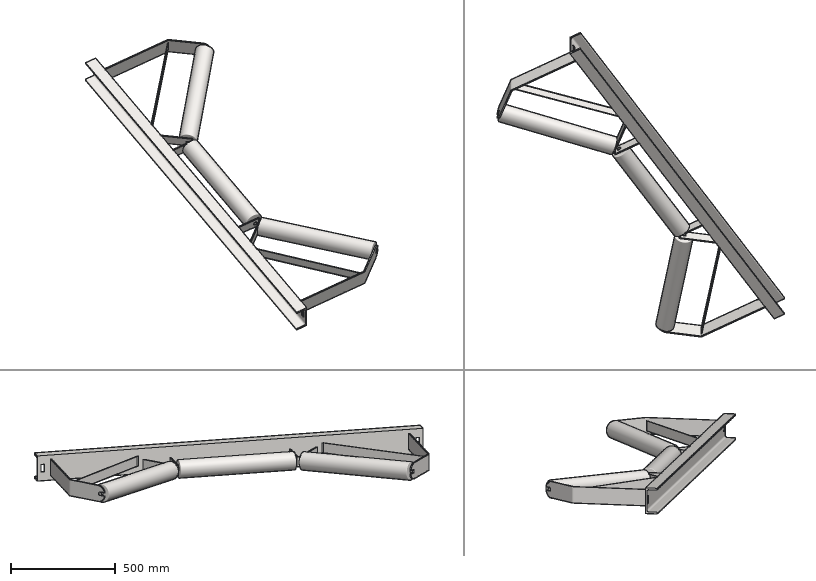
import cadquery as cq
import math

CHANNEL_LENGTH = 1900.0
CHANNEL_HEIGHT = 125.0
CHANNEL_DEPTH = 57.0
WEB_THICKNESS = 6.6
FLANGE_THICKNESS = 10.0
ROOT_RADIUS = 10.0
TOE_RADIUS = 4.0
SLOT_WIDTH = 17.0
SLOT_HEIGHT = 36.0
SLOT_INSET = 27.0

DRUM_DIAMETER = 90.0
DRUM_LENGTH = 570.0
DRUM_EDGE_RADIUS = 2.0
SHAFT_DIAMETER = 17.0
SHAFT_STUB = 13.0
CENTRE_ROLLER_Y = 118.0
CENTRE_ROLLER_Z = -17.0

TROUGH_ANGLE = 40.0
TIP_ANGLE = 2.0
WING_X = 543.0
WING_Y = 312.0
WING_Z = -8.2

STRIP_THICKNESS = 6.6
WIDE_STRIP = 80.0
NARROW_STRIP = 50.0
OUTER_Z = 2.0
OUTER_FACE_X = 885.0
OUTER_BEND_Y = 367.0
OUTER_ARM = 203.0
OUTER_TIP_RADIUS = 38.0
OUTER_BEND_RADIUS = 8.5
INNER_FACE_X = 290.0
INNER_TOP_Y = 142.0
INNER_TOP_WIDTH = 19.0
BRACE_THICKNESS = 4.0
BRACE_FOOT_X = 452.0

trough = math.radians(TROUGH_ANGLE)
arm_direction = (-math.sin(trough), math.cos(trough))
inward = (-math.cos(trough), -math.sin(trough))
overall_shaft = DRUM_LENGTH + 2 * SHAFT_STUB


def channel():
    half = CHANNEL_HEIGHT / 2
    inner = half - FLANGE_THICKNESS
    toe = CHANNEL_DEPTH - TOE_RADIUS
    root_y = WEB_THICKNESS + ROOT_RADIUS
    root_z = inner - ROOT_RADIUS
    profile = (
        cq.Workplane("YZ", origin=(-CHANNEL_LENGTH / 2, 0, 0))
        .moveTo(0, half)
        .lineTo(-CHANNEL_DEPTH, half)
        .lineTo(-CHANNEL_DEPTH, inner + TOE_RADIUS)
        .radiusArc((-toe, inner), -TOE_RADIUS)
        .lineTo(-root_y, inner)
        .radiusArc((-WEB_THICKNESS, root_z), ROOT_RADIUS)
        .lineTo(-WEB_THICKNESS, -root_z)
        .radiusArc((-root_y, -inner), ROOT_RADIUS)
        .lineTo(-toe, -inner)
        .radiusArc((-CHANNEL_DEPTH, -inner - TOE_RADIUS), -TOE_RADIUS)
        .lineTo(-CHANNEL_DEPTH, -half)
        .lineTo(0, -half)
        .close()
    )
    slot_x = CHANNEL_LENGTH / 2 - SLOT_INSET
    slots = (
        cq.Workplane("XZ")
        .pushPoints([(-slot_x, 0), (slot_x, 0)])
        .rect(SLOT_WIDTH, SLOT_HEIGHT)
        .extrude(WEB_THICKNESS)
    )
    return profile.extrude(CHANNEL_LENGTH).cut(slots)


def rod(diameter, length):
    """Cylinder along X, centred on the origin."""
    return cq.Workplane("YZ", origin=(-length / 2, 0, 0)).circle(diameter / 2).extrude(length)


def roller():
    drum = rod(DRUM_DIAMETER, DRUM_LENGTH).edges().fillet(DRUM_EDGE_RADIUS)
    return drum.union(rod(SHAFT_DIAMETER, overall_shaft))


def shaft_slot():
    """Cutter for an open slot: the shaft and the space on its +Y side, along the outer half."""
    mouth = cq.Workplane("XY").box(
        overall_shaft / 2, WIDE_STRIP, SHAFT_DIAMETER, centered=(False, False, True)
    )
    return mouth.union(rod(SHAFT_DIAMETER, overall_shaft))


def at_centre(body):
    return body.translate((0, CENTRE_ROLLER_Y, CENTRE_ROLLER_Z))


def at_wing(body):
    return (
        body.rotate((0, 0, 0), (0, 1, 0), -TIP_ANGLE)
        .rotate((0, 0, 0), (0, 0, 1), TROUGH_ANGLE)
        .translate((WING_X, WING_Y, WING_Z))
    )


def bent_strip(face_a, face_b, width, centre_z):
    """Strip on edge along Z, between two bent lines that each run from foot to tip."""
    outline = face_a + face_b[::-1]
    return (
        cq.Workplane("XY", origin=(0, 0, centre_z - width / 2))
        .polyline(outline)
        .close()
        .extrude(width)
    )


def inner_bend_y():
    """Y of the corner on the inside face of the outer bracket."""
    half_bend = (math.pi / 2 - trough) / 2
    return OUTER_BEND_Y - STRIP_THICKNESS * math.tan(half_bend)


def outer_bracket():
    tip = (OUTER_FACE_X + OUTER_ARM * arm_direction[0], OUTER_BEND_Y + OUTER_ARM * arm_direction[1])
    inside_tip = (tip[0] + STRIP_THICKNESS * inward[0], tip[1] + STRIP_THICKNESS * inward[1])
    mid_tip = ((tip[0] + inside_tip[0]) / 2, (tip[1] + inside_tip[1]) / 2)
    inside_x = OUTER_FACE_X - STRIP_THICKNESS
    plate = bent_strip(
        [(OUTER_FACE_X, 0), (OUTER_FACE_X, OUTER_BEND_Y), tip],
        [(inside_x, 0), (inside_x, inner_bend_y()), inside_tip],
        WIDE_STRIP,
        OUTER_Z,
    )
    outer_bend = cq.selectors.NearestToPointSelector((OUTER_FACE_X, OUTER_BEND_Y, OUTER_Z))
    inside_bend = cq.selectors.NearestToPointSelector((inside_x, inner_bend_y(), OUTER_Z))
    plate = plate.edges(outer_bend).fillet(OUTER_BEND_RADIUS + STRIP_THICKNESS)
    plate = plate.edges(inside_bend).fillet(OUTER_BEND_RADIUS)
    for corner_z in (OUTER_Z - WIDE_STRIP / 2, OUTER_Z + WIDE_STRIP / 2):
        corner = cq.selectors.NearestToPointSelector((*mid_tip, corner_z))
        plate = plate.edges(corner).fillet(OUTER_TIP_RADIUS)
    return plate.cut(at_wing(shaft_slot()))


def inner_bracket():
    """Upright leg, short flat top and a leg sloping outward, parallel to the outer bracket's arm."""
    slope = math.tan(trough)
    top_end_x = INNER_FACE_X + INNER_TOP_WIDTH
    foot_x = top_end_x + INNER_TOP_Y * slope
    leg_foot = STRIP_THICKNESS / math.cos(trough)
    under_y = INNER_TOP_Y - STRIP_THICKNESS
    inside_x = INNER_FACE_X + STRIP_THICKNESS
    inside_foot_x = foot_x - leg_foot
    plate = bent_strip(
        [(INNER_FACE_X, 0), (INNER_FACE_X, INNER_TOP_Y), (top_end_x, INNER_TOP_Y), (foot_x, 0)],
        [(inside_x, 0), (inside_x, under_y), (inside_foot_x - under_y * slope, under_y), (inside_foot_x, 0)],
        NARROW_STRIP,
        CENTRE_ROLLER_Z,
    )
    shaft = rod(SHAFT_DIAMETER, overall_shaft)
    return plate.cut(at_centre(shaft)).cut(at_wing(shaft))


def brace():
    """Straight strip from the web up to the bend of the outer bracket, trimmed to fit the bend."""
    top_x = OUTER_FACE_X - STRIP_THICKNESS
    top_y = inner_bend_y()
    angle = math.atan2(top_y, top_x - BRACE_FOOT_X)
    lower_foot_x = BRACE_FOOT_X + BRACE_THICKNESS / math.sin(angle)
    lower_top_y = top_y - BRACE_THICKNESS / math.cos(angle)
    plate = bent_strip(
        [(BRACE_FOOT_X, 0), (top_x, top_y)],
        [(lower_foot_x, 0), (top_x, lower_top_y)],
        NARROW_STRIP,
        OUTER_Z,
    )
    return plate.cut(outer_bracket())


bodies = [channel(), at_centre(roller())]
for side_body in (at_wing(roller()), outer_bracket(), inner_bracket(), brace()):
    bodies += [side_body, side_body.mirror("YZ")]

result = cq.Compound.makeCompound([body.val() for body in bodies])